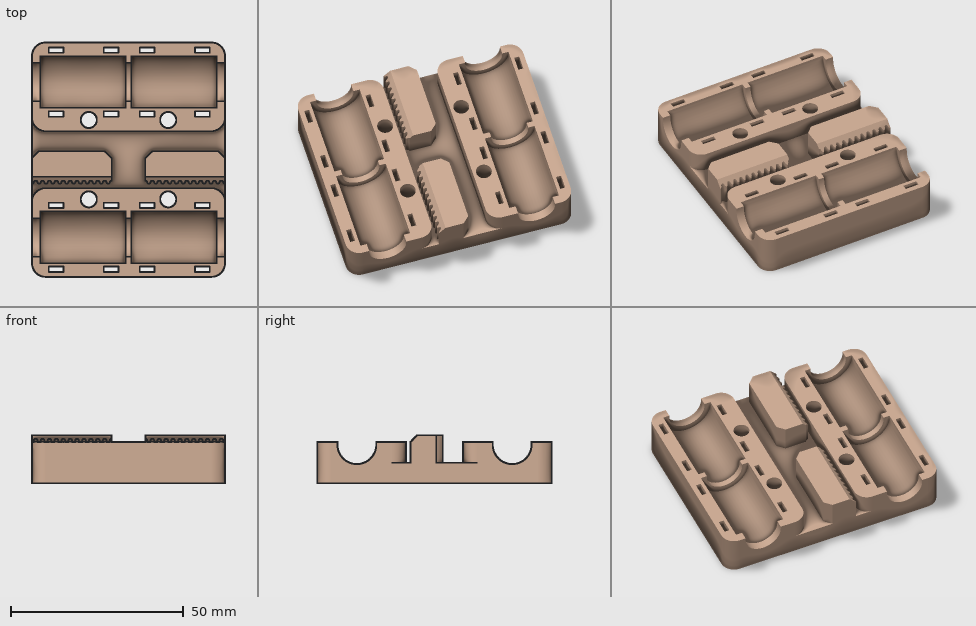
import cadquery as cq

LENGTH_X = 56.0
WIDTH_Y = 68.0
FLOOR_Z = 6.0
TOP_Z = 12.0
CORNER_RADIUS = 4.0

CHANNEL_WIDTH = 16.5
BLOCK_WIDTH = (WIDTH_Y - CHANNEL_WIDTH) / 2
SIDES = (-1, 1)

BEARING_Y = 22.5
BEARING_AXIS_Z = 11.2
BEARING_RADIUS = 7.5
BEARING_LENGTH = 24.7
MIDDLE_WALL = 1.7
ROD_RADIUS = 5.6

SLOT_LENGTH = 4.2
SLOT_WIDTH = 1.5
SLOT_OFFSET_Y = 9.25
SLOT_PAIR_X = 13.2
SLOT_SHIFT_X = 0.2
SLOT_SPACING = 16.0

HOLE_DIAMETER = 4.6
HOLE_SPACING = 23.0

CLAMP_TOP_Z = 14.0
CLAMP_LENGTH = 23.1
CLAMP_BACK_Y = 2.45
CLAMP_FRONT_Y = -7.0
CLAMP_CHAMFER = 2.0
TOOTH_PITCH = 2.0
GROOVE_DEPTH = 0.9
GROOVE_ROOT_RADIUS = 0.55
GROOVE_MOUTH_WIDTH = 1.7
GROOVE_COUNT = 12


def make_base():
    """Floor plate and the two rounded bearing blocks standing on it."""
    body = (
        cq.Workplane("XY")
        .box(LENGTH_X, WIDTH_Y, FLOOR_Z, centered=(True, True, False))
        .edges("|Z")
        .fillet(CORNER_RADIUS)
    )
    for side in SIDES:
        block = (
            cq.Workplane("XY")
            .center(0, side * (WIDTH_Y - BLOCK_WIDTH) / 2)
            .box(LENGTH_X, BLOCK_WIDTH, TOP_Z, centered=(True, True, False))
            .edges("|Z")
            .fillet(CORNER_RADIUS)
        )
        body = body.union(block)
    return body


def make_trough(radius, length, center_x, center_y):
    """U-shaped cutter along X: a half cylinder with straight walls above its axis."""
    return (
        cq.Workplane("YZ", origin=(center_x - length / 2, center_y, BEARING_AXIS_Z))
        .moveTo(-radius, 0)
        .threePointArc((0, -radius), (radius, 0))
        .lineTo(radius, TOP_Z - BEARING_AXIS_Z)
        .lineTo(-radius, TOP_Z - BEARING_AXIS_Z)
        .close()
        .extrude(length)
    )


def cut_bearing_seats(body):
    bearing_x = (BEARING_LENGTH + MIDDLE_WALL) / 2
    for side_y in SIDES:
        row_y = side_y * BEARING_Y
        body = body.cut(make_trough(ROD_RADIUS, LENGTH_X, 0, row_y))
        for side_x in SIDES:
            body = body.cut(make_trough(BEARING_RADIUS, BEARING_LENGTH, side_x * bearing_x, row_y))
    return body


def cut_tie_slots(body):
    centers = [
        (
            SLOT_SHIFT_X + side_x * SLOT_PAIR_X + end * SLOT_SPACING / 2,
            side_y * BEARING_Y + edge * SLOT_OFFSET_Y,
        )
        for side_x in SIDES
        for end in SIDES
        for side_y in SIDES
        for edge in SIDES
    ]
    slots = cq.Workplane("XY").pushPoints(centers).rect(SLOT_LENGTH, SLOT_WIDTH).extrude(TOP_Z)
    return body.cut(slots)


def cut_screw_holes(body):
    holes = (
        cq.Workplane("XY")
        .rect(HOLE_SPACING, HOLE_SPACING, forConstruction=True)
        .vertices()
        .circle(HOLE_DIAMETER / 2)
        .extrude(TOP_Z)
    )
    return body.cut(holes)


def make_groove(center_x):
    """Vertical cutter for one belt tooth: round root, sides flaring to the mouth."""
    root_y = CLAMP_FRONT_Y + GROOVE_DEPTH
    arc_end_y = root_y - GROOVE_ROOT_RADIUS
    half_mouth = GROOVE_MOUTH_WIDTH / 2
    return (
        cq.Workplane("XY", origin=(center_x, 0, FLOOR_Z))
        .moveTo(-half_mouth, CLAMP_FRONT_Y)
        .lineTo(-GROOVE_ROOT_RADIUS, arc_end_y)
        .threePointArc((0, root_y), (GROOVE_ROOT_RADIUS, arc_end_y))
        .lineTo(half_mouth, CLAMP_FRONT_Y)
        .close()
        .extrude(CLAMP_TOP_Z - FLOOR_Z)
    )


def make_clamp():
    """Belt clamp at the +X end of the channel."""
    inner_x = LENGTH_X / 2 - CLAMP_LENGTH
    height = CLAMP_TOP_Z - FLOOR_Z
    clamp = (
        cq.Workplane("XY", origin=(inner_x, CLAMP_FRONT_Y, FLOOR_Z))
        .box(CLAMP_LENGTH, CLAMP_BACK_Y - CLAMP_FRONT_Y, height, centered=False)
    )
    clamp = clamp.edges("|Z and >Y").chamfer(CLAMP_CHAMFER)
    clamp = clamp.edges(">Z and <Y").chamfer(CLAMP_CHAMFER)

    for i in range(GROOVE_COUNT):
        clamp = clamp.cut(make_groove(inner_x + i * TOOTH_PITCH))
    return clamp


def add_clamps(body):
    clamp = make_clamp()
    return body.union(clamp).union(clamp.mirror("YZ"))


result = make_base()
result = cut_bearing_seats(result)
result = cut_tie_slots(result)
result = cut_screw_holes(result)
result = add_clamps(result)